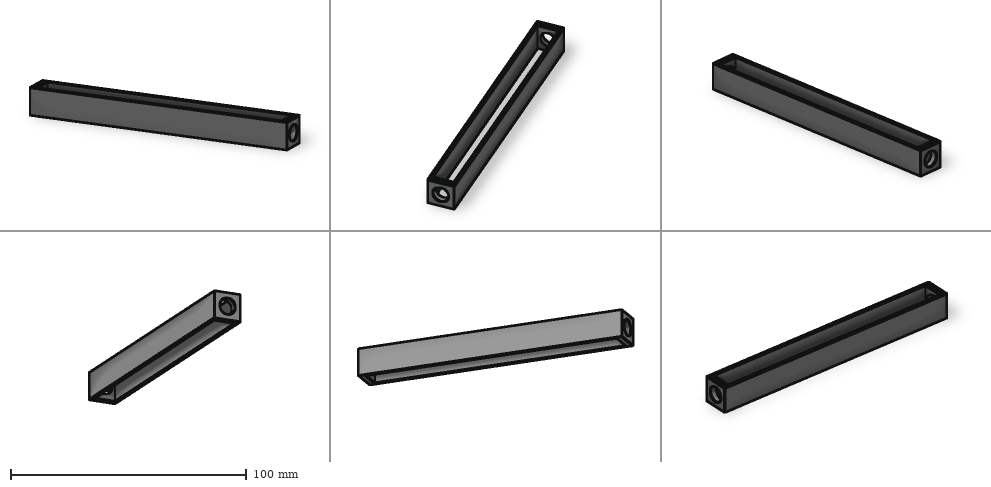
import cadquery as cq

length = 121.9
width = 12.5
height = 12.5

end_wall = 3.2
side_wall = 1.6

bevel = 0.33

hole_diameter = 7.0

groove_width = 1.0
groove_length = 10.2
groove_depth = 0.2
groove_center_x = length / 2 - end_wall / 2

slit_width = 0.2
slit_length = groove_length / 2
slit_depth = 0.2


def beveled_window():
    """Cutter for the window, flared at the top and bottom rims."""
    opening_x = length - 2 * end_wall
    opening_y = width - 2 * side_wall
    cutter = cq.Workplane("XY").box(opening_x, opening_y, height)
    for side in (-1, 1):
        flare = (
            cq.Workplane("XY")
            .workplane(offset=side * (height / 2 - bevel))
            .rect(opening_x, opening_y)
            .workplane(offset=side * bevel)
            .rect(opening_x + 2 * bevel, opening_y + 2 * bevel)
            .loft(ruled=True)
        )
        cutter = cutter.union(flare)
    return cutter


def top_groove(center_x):
    """Cutter for the groove across the top of one end wall."""
    return (
        cq.Workplane("XY")
        .workplane(offset=height / 2)
        .center(center_x, 0)
        .rect(groove_width, groove_length)
        .extrude(-groove_depth)
    )


block = cq.Workplane("XY").box(length, width, height).edges().chamfer(bevel)
frame = block.cut(beveled_window())

bore = cq.Workplane("YZ").circle(hole_diameter / 2).extrude(length / 2, both=True)
frame = frame.cut(bore)
frame = frame.faces("<X or >X").edges("%CIRCLE").chamfer(bevel)

for center_x in (-groove_center_x, groove_center_x):
    frame = frame.cut(top_groove(center_x))

slit = (
    cq.Workplane("XY")
    .workplane(offset=height / 2 - groove_depth)
    .center(-groove_center_x, slit_length / 2)
    .rect(slit_width, slit_length)
    .extrude(-slit_depth)
)

result = frame.cut(slit)